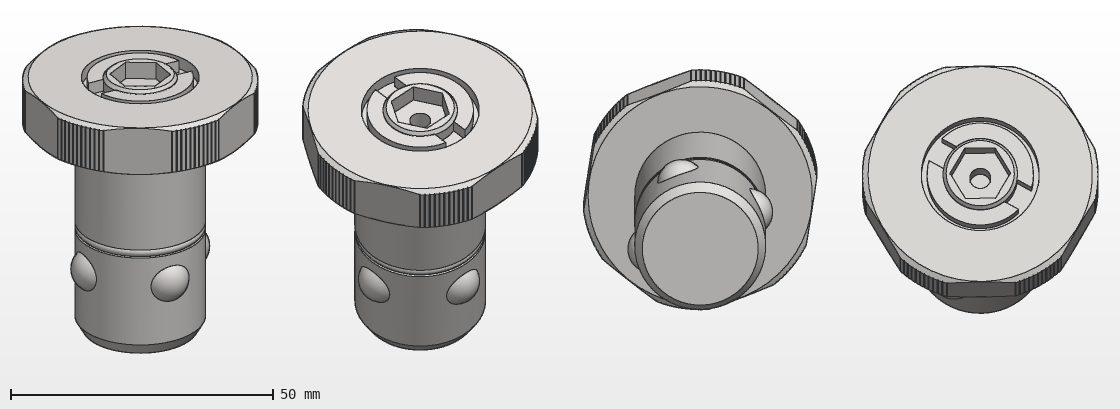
import cadquery as cq
import math

shaft_radius = 12.5
flange_bottom = 43.5
tip_chamfer_height = 2.5
tip_chamfer_angle = 30.0

ring_center_z = 21.95
ring_section_radius = 0.9
groove_depth = 1.0
groove_half_width = 0.85

ball_radius = 4.5
ball_center_radius = 10.0
ball_center_z = 14.9
ball_count = 4

flange_radius = 22.5
flange_thickness = 10.0
flange_top = flange_bottom + flange_thickness
flange_chamfer_width = 1.1
flange_chamfer_angle = 30.0
flat_count = 6
flat_distance = 21.5
knurl_pitch_angle = 2.4
knurl_grooves_per_stretch = 12
knurl_depth = 0.13
knurl_half_width = 0.13

gap_outer_radius = 11.25
gap_inner_radius = 10.15
slot_width = 5.0
recess_depth = 2.5

hub_radius = 7.1
hub_height = 0.6
hub_bevel_width = 0.6
hub_bevel_height = 0.8
hub_top = flange_top + hub_height
hex_side_count = 6
hex_across_flats = 10.0
hex_depth = 3.5
socket_hole_radius = 2.0
socket_hole_depth = 4.0


def tangent(angle):
    """Tangent of an angle in degrees."""
    return math.tan(math.radians(angle))


def polar(radius, angle):
    """Point at the given radius and angle in degrees."""
    return (radius * math.cos(math.radians(angle)), radius * math.sin(math.radians(angle)))


def cylinder(radius, bottom, top):
    """Upright cylinder on the Z axis between two heights."""
    return cq.Workplane("XY").workplane(offset=bottom).circle(radius).extrude(top - bottom)


def make_shaft():
    """Shaft with a tapered tip and a ring groove, ending at the underside of the flange."""
    tip_radius = shaft_radius - tip_chamfer_height * tangent(tip_chamfer_angle)
    groove_radius = shaft_radius - groove_depth
    groove_bottom = ring_center_z - groove_half_width
    groove_top = ring_center_z + groove_half_width
    return (
        cq.Workplane("XZ")
        .lineTo(tip_radius, 0)
        .lineTo(shaft_radius, tip_chamfer_height)
        .lineTo(shaft_radius, groove_bottom)
        .lineTo(groove_radius, groove_bottom)
        .lineTo(groove_radius, groove_top)
        .lineTo(shaft_radius, groove_top)
        .lineTo(shaft_radius, flange_bottom)
        .lineTo(0, flange_bottom)
        .close()
        .revolve(360, (0, 0, 0), (0, 1, 0))
    )


def make_seal_ring():
    """Round-section ring whose outside is level with the shaft."""
    ring_center_radius = shaft_radius - ring_section_radius
    return (
        cq.Workplane("XZ")
        .center(ring_center_radius, ring_center_z)
        .circle(ring_section_radius)
        .revolve(360, (-ring_center_radius, 0, 0), (-ring_center_radius, 1, 0))
    )


def make_balls():
    """Balls standing partly out of the shaft, evenly spaced from the X axis."""
    centers = [polar(ball_center_radius, 360 * i / ball_count) for i in range(ball_count)]
    return cq.Workplane("XY").workplane(offset=ball_center_z).pushPoints(centers).sphere(ball_radius)


def make_flange():
    """Disc chamfered on both rims and trimmed by six flats."""
    chamfer_height = flange_chamfer_width * tangent(flange_chamfer_angle)
    disc = cylinder(flange_radius, flange_bottom, flange_top)
    disc = disc.faces("<Z").edges().chamfer(chamfer_height, flange_chamfer_width)
    disc = disc.faces(">Z").edges().chamfer(chamfer_height, flange_chamfer_width)
    hexagon_radius = flat_distance / math.cos(math.pi / flat_count)
    hexagon = (
        cq.Workplane("XY")
        .workplane(offset=flange_bottom)
        .polygon(flat_count, 2 * hexagon_radius)
        .extrude(flange_thickness)
    )
    return disc.intersect(hexagon)


def cut_knurl(flange):
    """Cut V grooves into the round stretches between the flats."""
    sector = 360 / flat_count
    first_angle = -knurl_pitch_angle * (knurl_grooves_per_stretch - 1) / 2
    outer_radius = flange_radius + knurl_depth
    outer_half_width = 2 * knurl_half_width
    groove = (
        cq.Workplane("XY")
        .workplane(offset=flange_bottom)
        .moveTo(flange_radius - knurl_depth, 0)
        .lineTo(outer_radius, outer_half_width)
        .lineTo(outer_radius, -outer_half_width)
        .close()
        .extrude(flange_thickness)
        .val()
    )
    grooves = []
    for stretch in range(flat_count):
        for i in range(knurl_grooves_per_stretch):
            angle = stretch * sector + first_angle + i * knurl_pitch_angle
            grooves.append(groove.rotate(cq.Vector(0, 0, 0), cq.Vector(0, 0, 1), angle))
    return flange.cut(cq.Compound.makeCompound(grooves))


def make_recess():
    """Ring-shaped gap joined to a slot interrupted by the round hub."""
    recess_bottom = flange_top - recess_depth
    gap = cylinder(gap_outer_radius, recess_bottom, flange_top)
    gap = gap.cut(cylinder(gap_inner_radius, recess_bottom, flange_top))
    slot = (
        cq.Workplane("XY")
        .workplane(offset=recess_bottom)
        .rect(slot_width, 2 * gap_outer_radius)
        .extrude(recess_depth)
        .intersect(cylinder(gap_outer_radius, recess_bottom, flange_top))
        .cut(cylinder(hub_radius, recess_bottom, flange_top))
    )
    return gap.union(slot)


def make_hub():
    """Round hub whose bevel starts just below the flange top."""
    hub = cylinder(hub_radius, flange_top - recess_depth, hub_top)
    return hub.faces(">Z").edges().chamfer(hub_bevel_height, hub_bevel_width)


def make_socket():
    """Hexagon socket with a round hole in its floor."""
    socket_floor = hub_top - hex_depth
    hexagon = (
        cq.Workplane("XY")
        .workplane(offset=socket_floor)
        .polygon(hex_side_count, hex_across_flats / math.cos(math.pi / hex_side_count))
        .extrude(hex_depth)
    )
    hole = cylinder(socket_hole_radius, socket_floor - socket_hole_depth, socket_floor)
    return hexagon.union(hole)


hub_seat = cylinder(hub_radius, flange_top - recess_depth, flange_top)
flange = cut_knurl(make_flange()).cut(make_recess()).cut(hub_seat)
body = make_shaft().union(make_seal_ring()).union(make_balls())
result = body.union(flange).union(make_hub()).cut(make_socket())